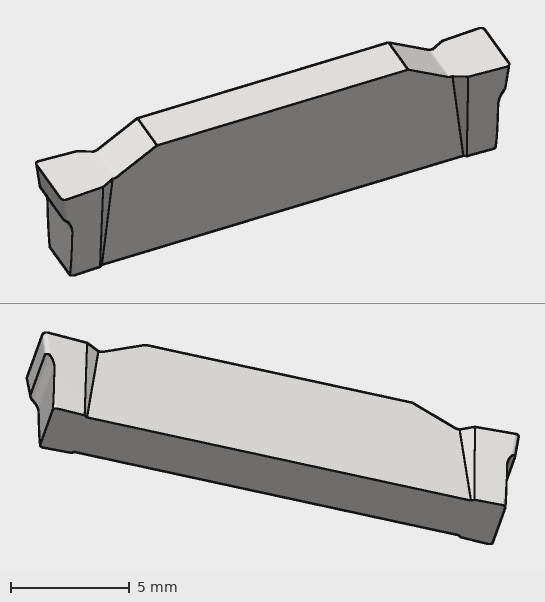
import cadquery as cq
import math

LENGTH = 20.8
HEIGHT = 5.68
BODY_WIDTH = 1.95
HEAD_HEIGHT = 4.58
EDGE_WIDTH = 2.77

RAMP_TOP_INSET = 4.58
RAMP_ANGLE = 30.0
RAMP_FOOT_RADIUS = 0.31

BASE_WIDTH = 2.2
TOP_SHOULDER_WIDTH = 2.58
BASE_SHOULDER_WIDTH = 2.12
CORNER_RADIUS = 0.19
FRONT_RAKE = 0.5
TOP_SHOULDER_INSET = 1.94
BASE_SHOULDER_INSET = 1.9
TOP_REAR_INSET = 2.52
BASE_REAR_INSET = 2.02
HEAD_OVERLAP = 0.42

RELIEF_INSET = 0.52
RELIEF_TOP = 2.5
LIP_BOTTOM = 3.35
LIP_INSET = FRONT_RAKE * (HEAD_HEIGHT - LIP_BOTTOM) / HEAD_HEIGHT
LIP_STEP_INSET = 0.3
LIP_STEP_HEIGHT = 3.23
CUT_MARGIN = 0.62

END = LENGTH / 2


def make_body():
    """Blade with a raised middle, stopping inside the heads."""
    body_end = END - BASE_REAR_INSET
    ramp_top = END - RAMP_TOP_INSET
    ramp_run = (HEIGHT - HEAD_HEIGHT) / math.tan(math.radians(RAMP_ANGLE))
    ramp_foot = ramp_top + ramp_run
    body = (
        cq.Workplane("YZ")
        .moveTo(-body_end, 0)
        .lineTo(body_end, 0)
        .lineTo(body_end, HEAD_HEIGHT)
        .lineTo(ramp_foot, HEAD_HEIGHT)
        .lineTo(ramp_top, HEIGHT)
        .lineTo(-ramp_top, HEIGHT)
        .lineTo(-ramp_foot, HEAD_HEIGHT)
        .lineTo(-body_end, HEAD_HEIGHT)
        .close()
        .extrude(BODY_WIDTH / 2, both=True)
    )
    for y in (-ramp_foot, ramp_foot):
        foot = cq.selectors.NearestToPointSelector((0, y, HEAD_HEIGHT))
        body = body.edges(foot).fillet(RAMP_FOOT_RADIUS)
    return body


def head_section(z, front_inset, width, shoulder_width, shoulder_inset, rear_inset):
    """Horizontal outline of the head at the -Y end, with round front corners."""
    front = -END + front_inset
    side = width / 2
    shoulder = shoulder_width / 2
    rear = BODY_WIDTH / 2
    shoulder_y = -END + shoulder_inset
    rear_y = -END + rear_inset
    inner_y = rear_y + HEAD_OVERLAP
    corner_mid = CORNER_RADIUS * (1 - math.sqrt(0.5))
    outline = (
        cq.Workplane("XY", origin=(0, 0, z))
        .moveTo(-side + CORNER_RADIUS, front)
        .lineTo(side - CORNER_RADIUS, front)
        .threePointArc((side - corner_mid, front + corner_mid), (side, front + CORNER_RADIUS))
        .lineTo(shoulder, shoulder_y)
        .lineTo(rear, rear_y)
        .lineTo(rear, inner_y)
        .lineTo(-rear, inner_y)
        .lineTo(-rear, rear_y)
        .lineTo(-shoulder, shoulder_y)
        .lineTo(-side, front + CORNER_RADIUS)
        .threePointArc((-side + corner_mid, front + corner_mid), (-side + CORNER_RADIUS, front))
        .close()
    )
    return outline.val()


def make_relief_cutter():
    """Flat relief with a concave run-out under the lip, at the -Y end."""
    flat_y = -END + RELIEF_INSET
    step_y = -END + LIP_STEP_INSET
    outside_y = -END - CUT_MARGIN
    return (
        cq.Workplane("YZ")
        .moveTo(outside_y, -CUT_MARGIN)
        .lineTo(flat_y, -CUT_MARGIN)
        .lineTo(flat_y, RELIEF_TOP)
        .tangentArcPoint((step_y, LIP_STEP_HEIGHT), relative=False)
        .lineTo(-END + LIP_INSET, LIP_BOTTOM)
        .lineTo(outside_y, LIP_BOTTOM)
        .close()
        .extrude(EDGE_WIDTH, both=True)
    )


def make_head():
    """Cutting head at the -Y end, tapering downwards."""
    base = head_section(
        0, FRONT_RAKE, BASE_WIDTH, BASE_SHOULDER_WIDTH, BASE_SHOULDER_INSET, BASE_REAR_INSET
    )
    top = head_section(
        HEAD_HEIGHT, 0, EDGE_WIDTH, TOP_SHOULDER_WIDTH, TOP_SHOULDER_INSET, TOP_REAR_INSET
    )
    head = cq.Workplane(cq.Solid.makeLoft([base, top], True))
    return head.cut(make_relief_cutter())


head = make_head()
result = make_body().union(head).union(head.mirror("XZ")).clean()